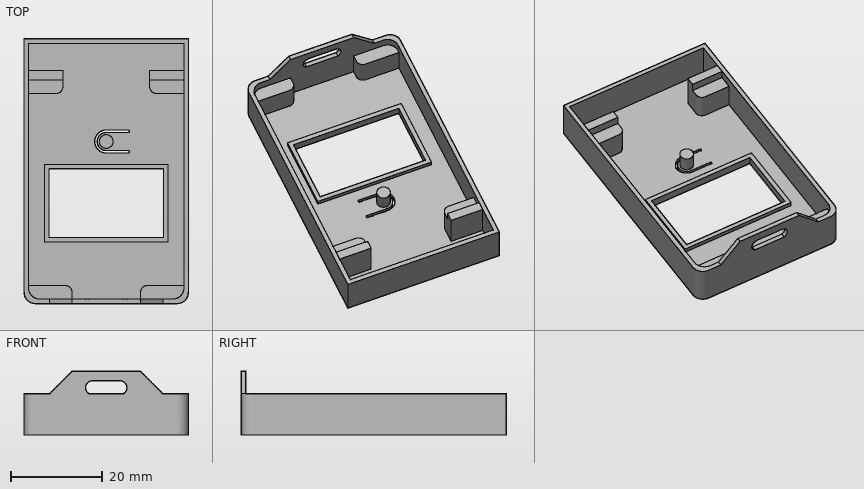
import cadquery as cq

width = 36.0
length = 58.0
wall = 1.0
floor_height = 1.0
rim_height = 9.1
front_corner_radius = 2.5
inner_corner_radius = 2.5

tab_height = 14.0
tab_top_width = 15.0
tab_rise = tab_height - rim_height
tab_bottom_width = tab_top_width + 2 * tab_rise
tab_slot_width = 9.0
tab_slot_opening = 3.0
tab_slot_center_height = 10.4

post_corner_radius = 1.5
rear_post_width = 7.5
rear_post_depth = 5.0
rear_post_setback = 7.0
rear_post_end = length - rear_post_setback
rear_post_start = rear_post_end - rear_post_depth
rear_ledge_height = 7.0
rear_stop_depth = 2.0
rear_stop_height = 9.0
front_post_width = 9.5
front_post_end = 4.0
front_post_height = 7.0

window_width = 25.0
window_length = 15.0
window_center_y = 22.0
frame_border = 1.0
frame_height = 2.0

button_y = 35.5
pin_diameter = 3.0
pin_height = 4.5
slit_outer_radius = 2.5
slit_width = 0.5
slit_arm_length = 5.0

inner_half_width = width / 2 - wall


def box(x_start, x_end, y_start, y_end, z_start, z_end):
    """Axis-aligned block given by its limits."""
    block = cq.Workplane("XY").box(x_end - x_start, y_end - y_start, z_end - z_start, centered=False)
    return block.translate((x_start, y_start, z_start))


def make_tray():
    outer = box(-width / 2, width / 2, 0, length, 0, rim_height)
    outer = outer.edges("|Z and <Y").fillet(front_corner_radius)
    cavity = box(-inner_half_width, inner_half_width, wall, length - wall, floor_height, rim_height)
    cavity = cavity.edges("|Z and <Y").fillet(inner_corner_radius)
    return outer.cut(cavity)


def make_tab():
    tab = (
        cq.Workplane("XZ")
        .moveTo(-tab_bottom_width / 2, rim_height)
        .lineTo(tab_bottom_width / 2, rim_height)
        .lineTo(tab_top_width / 2, tab_height)
        .lineTo(-tab_top_width / 2, tab_height)
        .close()
        .extrude(-wall)
    )
    slot = (
        cq.Workplane("XZ")
        .center(0, tab_slot_center_height)
        .slot2D(tab_slot_width, tab_slot_opening)
        .extrude(-wall)
    )
    return tab.cut(slot)


def make_left_rear_post():
    x_start = -inner_half_width
    x_end = x_start + rear_post_width
    post = box(x_start, x_end, rear_post_start, rear_post_end, floor_height, rear_ledge_height)
    post = post.edges("|Z and >X and <Y").fillet(post_corner_radius)
    stop_start = rear_post_end - rear_stop_depth
    stop = box(x_start, x_end, stop_start, rear_post_end, rear_ledge_height, rear_stop_height)
    return post.union(stop)


def make_left_front_post():
    x_start = -inner_half_width
    x_end = x_start + front_post_width
    post = box(x_start, x_end, wall, front_post_end, floor_height, front_post_height)
    post = post.edges("|Z and >X and >Y").fillet(post_corner_radius)
    return post.edges("|Z and <X and <Y").fillet(inner_corner_radius)


def make_frame():
    frame_width = window_width + 2 * frame_border
    frame_length = window_length + 2 * frame_border
    return (
        cq.Workplane("XY", origin=(0, window_center_y, floor_height))
        .rect(frame_width, frame_length)
        .extrude(frame_height - floor_height)
    )


def make_window():
    return (
        cq.Workplane("XY", origin=(0, window_center_y, 0))
        .rect(window_width, window_length)
        .extrude(frame_height)
    )


def make_tongue_shape(radius):
    """Half disc with a straight run towards +X, as thick as the floor."""
    return (
        cq.Workplane("XY", origin=(0, button_y, 0))
        .moveTo(slit_arm_length, radius)
        .lineTo(0, radius)
        .threePointArc((-radius, 0), (0, -radius))
        .lineTo(slit_arm_length, -radius)
        .close()
        .extrude(floor_height)
    )


def make_slit():
    return make_tongue_shape(slit_outer_radius).cut(make_tongue_shape(slit_outer_radius - slit_width))


def make_pin():
    pin = cq.Workplane("XY", origin=(0, button_y, floor_height))
    return pin.circle(pin_diameter / 2).extrude(pin_height - floor_height)


result = make_tray().union(make_tab())
for left_post in (make_left_rear_post(), make_left_front_post()):
    result = result.union(left_post).union(left_post.mirror("YZ"))
result = result.union(make_frame()).cut(make_window())
result = result.cut(make_slit()).union(make_pin())